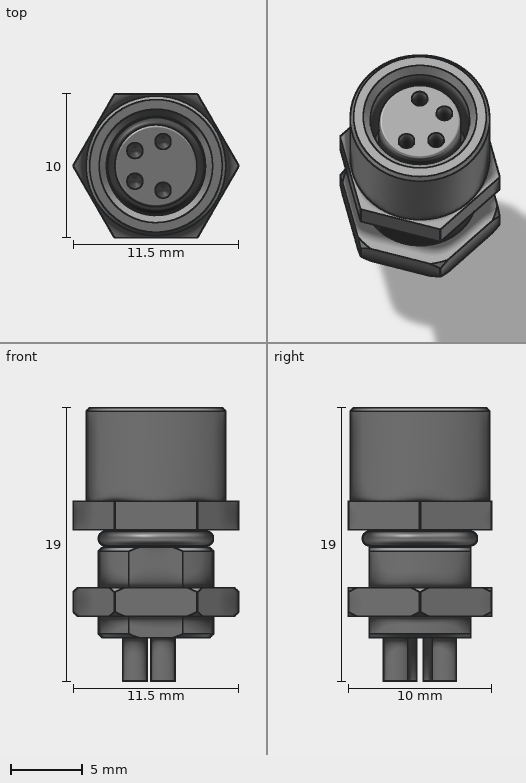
import cadquery as cq
import math

TOTAL_HEIGHT = 19.0
PIN_LENGTH = 3.0
NUT_BOTTOM = 4.5
HEX_THICKNESS = 2.0
FLANGE_BOTTOM = 10.5
FLANGE_TOP = FLANGE_BOTTOM + HEX_THICKNESS

ACROSS_FLATS = 10.0
CORNER_DIAMETER = 11.5
NUT_CHAMFER = 0.3

SHANK_DIAMETER = 8.0
SHANK_FLAT_WIDTH = 7.07
SHANK_TOP = 9.31
SHANK_CHAMFER = 0.28

NECK_DIAMETER = 6.9
SEAL_OUTER_DIAMETER = 8.0
SEAL_SECTION = 1.0
SEAL_HEIGHT = (SHANK_TOP + FLANGE_BOTTOM) / 2

BARREL_DIAMETER = 9.7
BARREL_CHAMFER = 0.25
CAVITY_DIAMETER = 6.9
CAVITY_FLOOR = FLANGE_TOP
MOUTH_CHAMFER = 0.5

GASKET_OUTER_DIAMETER = 6.7
GASKET_SECTION = 1.0
INSERT_DIAMETER = GASKET_OUTER_DIAMETER - GASKET_SECTION
INSERT_TOP = 18.2
INSERT_FILLET = 0.2
GASKET_SINK = 0.04
GASKET_HEIGHT = CAVITY_FLOOR + GASKET_SECTION / 2 - GASKET_SINK

CONTACT_POSITIONS = [(-1.46, -1.06), (-1.46, 1.06), (0.5, -1.7), (0.5, 1.7)]
HOLE_DIAMETER = 1.1
HOLE_DEPTH = 5.0
HOLE_TIP_ANGLE = 140.0
PIN_DIAMETER = 1.7
OVERLAP = 0.19


def cylinder(diameter, bottom, top):
    return cq.Workplane("XY").workplane(offset=bottom).circle(diameter / 2).extrude(top - bottom)


def hexagon(bottom, corner_chamfer=0.0):
    """Hexagonal plate with corners turned down to CORNER_DIAMETER."""
    corner_to_corner = ACROSS_FLATS / math.cos(math.pi / 6)
    plate = (
        cq.Workplane("XY").workplane(offset=bottom)
        .polygon(6, corner_to_corner).extrude(HEX_THICKNESS)
    )
    turning = cylinder(CORNER_DIAMETER, bottom, bottom + HEX_THICKNESS)
    if corner_chamfer:
        turning = turning.edges().chamfer(corner_chamfer)
    return plate.intersect(turning)


def nut():
    """Lock nut whose round bore leaves a gap beside each shank flat."""
    bore = cylinder(SHANK_DIAMETER, NUT_BOTTOM, NUT_BOTTOM + HEX_THICKNESS)
    return hexagon(NUT_BOTTOM, NUT_CHAMFER).cut(bore)


def ring(outer_diameter, section, center_height):
    """Round-section ring around the Z axis."""
    center_radius = (outer_diameter - section) / 2
    return (
        cq.Workplane("XZ")
        .moveTo(-center_radius, center_height)
        .circle(section / 2)
        .revolve(360, (0, 0), (0, 1))
    )


def shank():
    turned = cylinder(SHANK_DIAMETER, PIN_LENGTH, SHANK_TOP).edges("%CIRCLE").chamfer(SHANK_CHAMFER)
    flats = (
        cq.Workplane("XY")
        .box(SHANK_DIAMETER, SHANK_FLAT_WIDTH, SHANK_TOP, centered=(True, True, False))
    )
    return turned.intersect(flats)


def barrel():
    outer = cylinder(BARREL_DIAMETER, FLANGE_TOP - OVERLAP, TOTAL_HEIGHT)
    outer = outer.faces(">Z").edges().chamfer(BARREL_CHAMFER)
    cavity = cylinder(CAVITY_DIAMETER, CAVITY_FLOOR, TOTAL_HEIGHT)
    shell = outer.cut(cavity)
    mouth_edge = cq.selectors.RadiusNthSelector(0)
    return shell.faces(">Z").edges(mouth_edge).chamfer(MOUTH_CHAMFER)


def insert():
    post = cylinder(INSERT_DIAMETER, CAVITY_FLOOR - OVERLAP, INSERT_TOP)
    return post.faces(">Z").edges().fillet(INSERT_FILLET)


def contact_holes():
    """Blind drilled holes with conical ends, as one cutting body."""
    radius = HOLE_DIAMETER / 2
    tip_depth = radius / math.tan(math.radians(HOLE_TIP_ANGLE / 2))
    drill = (
        cq.Workplane("XZ")
        .moveTo(0, INSERT_TOP)
        .lineTo(radius, INSERT_TOP)
        .lineTo(radius, INSERT_TOP - HOLE_DEPTH)
        .lineTo(0, INSERT_TOP - HOLE_DEPTH - tip_depth)
        .close()
        .revolve(360, (0, 0), (0, 1))
    )
    return cq.Workplane("XY").pushPoints(CONTACT_POSITIONS).eachpoint(
        lambda place: drill.val().moved(place)
    )


def pins():
    return (
        cq.Workplane("XY").pushPoints(CONTACT_POSITIONS)
        .circle(PIN_DIAMETER / 2).extrude(PIN_LENGTH + OVERLAP)
    )


result = (
    shank()
    .union(pins())
    .union(nut())
    .union(cylinder(NECK_DIAMETER, SHANK_TOP - OVERLAP, FLANGE_BOTTOM + OVERLAP))
    .union(ring(SEAL_OUTER_DIAMETER, SEAL_SECTION, SEAL_HEIGHT))
    .union(hexagon(FLANGE_BOTTOM))
    .union(barrel())
    .union(insert())
    .union(ring(GASKET_OUTER_DIAMETER, GASKET_SECTION, GASKET_HEIGHT))
    .cut(contact_holes())
)